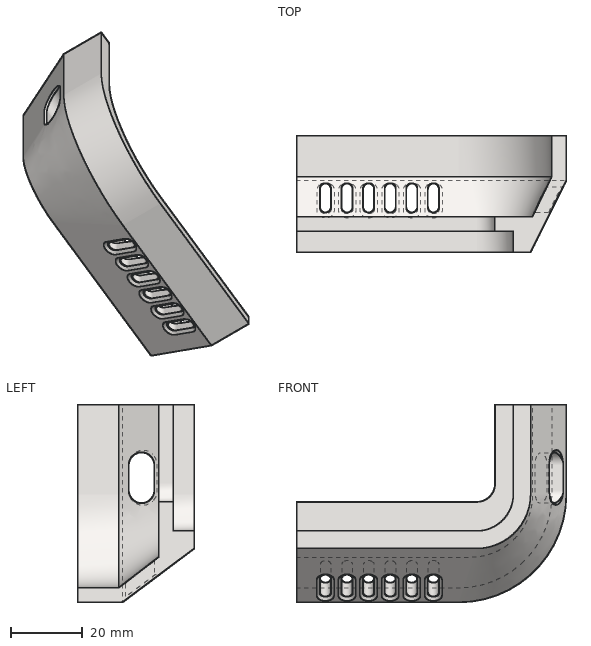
import cadquery as cq

length = 75.0
depth = 32.5
height = 55.0

bend_z = 30.0

back_radius = 30.0
outer_knee_y = 20.0
front_floor_z = 15.0
front_wall_x = length - 10.0

skin = 4.1
inner_knee_y = 21.0
web_back_y = 10.0
inner_front_floor_z = 12.6
inner_front_wall_x = length - 9.45

ledge_floor_z = 19.9
ledge_wall_x = length - 14.8
web_front_y = 5.9
web_floor_z = 28.0
web_wall_x = length - 19.9
web_radius = 5.0

slot_count = 6
slot_first_x = 8.0
slot_pitch = 6.0
slot_y = 15.15
slot_width = 3.0
slot_length = 8.0
floor_bevel_y = 14.55
floor_bevel_width = 4.8
floor_bevel_length = 12.15
floor_bevel_depth = 0.8

wall_slot_y = 14.7
wall_slot_z = 34.65
wall_slot_width = 7.05
wall_slot_length = 14.0
wall_bevel_y = 14.3
wall_bevel_width = 8.7
wall_bevel_length = 15.45
wall_bevel_depth = 0.6

bevel_angle = 45


def bend_region(y, floor_z, wall_x, radius):
    """Wire at y around the region above the floor line and left of the wall line."""
    diagonal = radius * 0.5 ** 0.5
    centre_x = wall_x - radius
    centre_z = floor_z + radius
    return (
        cq.Workplane("XZ", origin=(0, y, 0))
        .moveTo(0, floor_z)
        .lineTo(centre_x, floor_z)
        .threePointArc((centre_x + diagonal, centre_z - diagonal), (wall_x, centre_z))
        .lineTo(wall_x, height)
        .lineTo(0, height)
        .close()
        .val()
    )


def between(front_y, back_y, front, back):
    """Solid ruled between two bend regions, each (floor_z, wall_x, radius)."""
    wires = [bend_region(front_y, *front), bend_region(back_y, *back)]
    return cq.Workplane(cq.Solid.makeLoft(wires, True))


def bevel(plane, slot_length, slot_width, bevel_depth):
    """Slot-shaped recess that narrows from the plane inwards, long along the plane's x."""
    return cq.Workplane(plane).slot2D(slot_length, slot_width).extrude(bevel_depth, taper=bevel_angle)


outer_back = (0, length, back_radius)
outer_front = (front_floor_z, front_wall_x, bend_z - front_floor_z)
inner_back = (skin, length - skin, back_radius - skin)
inner_front = (inner_front_floor_z, inner_front_wall_x, bend_z - inner_front_floor_z)
ledge = (ledge_floor_z, ledge_wall_x, bend_z - ledge_floor_z)
web = (web_floor_z, web_wall_x, web_radius)

body = between(0, outer_knee_y, outer_front, outer_back)
body = body.union(between(outer_knee_y, depth, outer_back, outer_back))

body = body.cut(between(0, web_front_y, ledge, ledge))
body = body.cut(between(web_front_y, web_back_y, web, web))
body = body.cut(between(web_back_y, inner_knee_y, inner_front, inner_back))
body = body.cut(between(inner_knee_y, depth, inner_back, inner_back))

slot_points = [(slot_first_x + i * slot_pitch, slot_y) for i in range(slot_count)]
floor_slots = (
    cq.Workplane("XY")
    .pushPoints(slot_points)
    .slot2D(slot_length, slot_width, 90)
    .extrude(front_floor_z)
)
body = body.cut(floor_slots)

floor_bevel_z = front_floor_z * (1 - floor_bevel_y / outer_knee_y)
for slot_x, _ in slot_points:
    floor_plane = cq.Plane(
        origin=(slot_x, floor_bevel_y, floor_bevel_z),
        xDir=(0, outer_knee_y, -front_floor_z),
        normal=(0, front_floor_z, outer_knee_y),
    )
    body = body.cut(bevel(floor_plane, floor_bevel_length, floor_bevel_width, floor_bevel_depth))

wall_slot = (
    cq.Workplane("YZ", origin=(front_wall_x, 0, 0))
    .center(wall_slot_y, wall_slot_z)
    .slot2D(wall_slot_length, wall_slot_width, 90)
    .extrude(length - front_wall_x)
)
body = body.cut(wall_slot)

wall_slope_x = length - front_wall_x
wall_plane = cq.Plane(
    origin=(front_wall_x + wall_slope_x * wall_bevel_y / outer_knee_y, wall_bevel_y, wall_slot_z),
    xDir=(0, 0, 1),
    normal=(-outer_knee_y, wall_slope_x, 0),
)
result = body.cut(bevel(wall_plane, wall_bevel_length, wall_bevel_width, wall_bevel_depth))